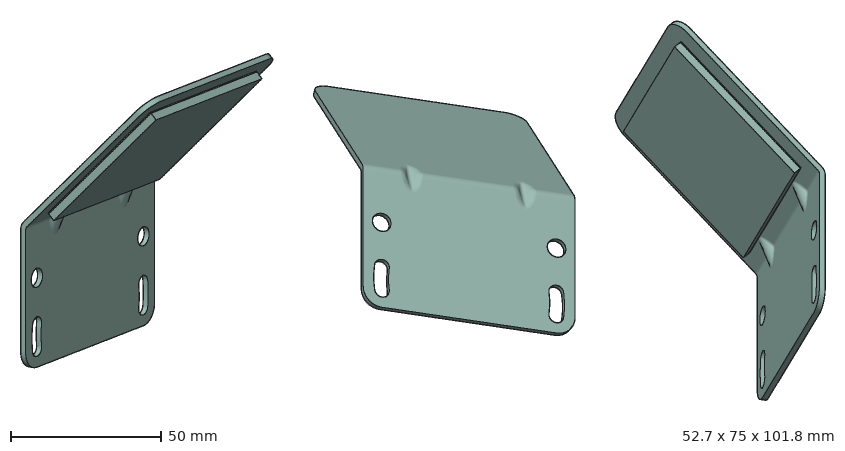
import cadquery as cq
import math

width = 75.0
overall_x = 52.7
overall_z = 101.8
sheet = 2.0
bend_angle = 45.0
bend_inner = 2.0
bend_outer = bend_inner + sheet
corner_radius = 6.6

hole_diameter = 6.5
hole_offset = 30.9
hole_z = 30.9
slot_z = 10.6
slot_width = 5.2
slot_height = 13.6
slot_arc_radius = 31.1

dimple_offset = 20.0
dimple_depth = 2.5
groove_radius = 1.5
groove_blend = 3.1
bump_radius = groove_radius + sheet
bump_blend = groove_blend - sheet
dimple_reach = 10.2

margin = 6.7
plate_length = 58.7
plate_thickness = 2.8
layer_thickness = 0.4

sin_bend = math.sin(math.radians(bend_angle))
cos_bend = math.cos(math.radians(bend_angle))
tip_x = overall_x - sheet * cos_bend
sharp_z = overall_z - tip_x * cos_bend / sin_bend
bend_z = sharp_z - bend_outer * math.tan(math.radians(bend_angle / 2))
cutter_length = 25.4

leg_plane = cq.Plane(
    origin=(overall_x, 0, overall_z - sheet * sin_bend),
    xDir=(-sin_bend, 0, -cos_bend),
    normal=(cos_bend, 0, -sin_bend),
)


def arc_point(radius, degrees):
    """Point at an angle around the bend axis, measured from the vertical leg."""
    angle = math.radians(degrees)
    return (bend_outer - radius * math.cos(angle), bend_z + radius * math.sin(angle))


def make_blank():
    """Bent sheet with rounded free corners."""
    blank = (
        cq.Workplane("XZ")
        .moveTo(0, 0)
        .lineTo(0, bend_z)
        .threePointArc(arc_point(bend_outer, bend_angle / 2), arc_point(bend_outer, bend_angle))
        .lineTo(tip_x, overall_z)
        .lineTo(overall_x, overall_z - sheet * sin_bend)
        .lineTo(*arc_point(bend_inner, bend_angle))
        .threePointArc(arc_point(bend_inner, bend_angle / 2), arc_point(bend_inner, 0))
        .lineTo(sheet, 0)
        .close()
        .extrude(width / 2, both=True)
    )
    leg_direction = cq.Vector(cos_bend, 0, -sin_bend)
    end_corners = blank.edges(cq.selectors.ParallelDirSelector(leg_direction)).edges(">Z").vals()
    lower_corners = blank.edges("|X").edges("<Z").vals()
    return blank.newObject(end_corners + lower_corners).fillet(corner_radius)


def dimple_plane(y):
    """Plane across a dimple: local X inward along the bisector, normal along the groove."""
    half = math.radians(bend_angle / 2)
    return cq.Plane(
        origin=(0, y, sharp_z),
        xDir=(math.cos(half), 0, -math.sin(half)),
        normal=(math.sin(half), 0, math.cos(half)),
    )


def edges_near(body, y):
    """Edges that lie entirely in the space around one dimple."""
    near = (-dimple_reach, y - dimple_reach, sharp_z - dimple_reach)
    far = (dimple_reach, y + dimple_reach, sharp_z + dimple_reach)
    return body.edges(cq.selectors.BoxSelector(near, far, boundingbox=True)).vals()


def make_bump(y):
    """Round bar along the groove, kept only below the middle of the sheet's thickness."""
    bar = (
        cq.Workplane(dimple_plane(y))
        .center(dimple_depth - groove_radius, 0)
        .circle(bump_radius)
        .extrude(cutter_length, both=True)
    )
    middle = sheet / 2
    shift = middle / cos_bend - middle
    inner_side = (
        cq.Workplane("XZ", origin=(0, y, 0))
        .moveTo(middle, hole_z)
        .lineTo(middle, sharp_z - shift)
        .lineTo(overall_x, overall_x + sharp_z - middle - shift)
        .lineTo(overall_x, hole_z)
        .close()
        .extrude(dimple_reach, both=True)
    )
    return bar.intersect(inner_side)


def make_groove(y):
    """Round-bottomed slot along the groove, open to the outside of the bend."""
    section = cq.Workplane(dimple_plane(y)).center(dimple_depth - groove_radius, 0)
    floor = section.circle(groove_radius).extrude(cutter_length, both=True)
    opening = section.center(-dimple_reach / 2, 0).rect(dimple_reach, 2 * groove_radius)
    return floor.union(opening.extrude(cutter_length, both=True))


def on_outer_skin(point):
    """Whether a point lies on the outer surface of a leg or of the bend between them."""
    tolerance = 0.001
    from_axis_x = bend_outer - point.x
    from_axis_z = point.z - bend_z
    off_slope = from_axis_x * cos_bend + from_axis_z * sin_bend
    if from_axis_z <= 0:
        distance = from_axis_x
    elif from_axis_z * cos_bend >= from_axis_x * sin_bend:
        distance = off_slope
    else:
        distance = math.hypot(from_axis_x, from_axis_z)
    return abs(distance - bend_outer) < tolerance


def press_dimple(body, y):
    """Press one dimple: a blended bump inside and a matching groove outside."""
    body = body.union(make_bump(y))
    body = body.newObject(edges_near(body, y)).fillet(bump_blend)
    body = body.cut(make_groove(y))
    rim = [edge for edge in edges_near(body, y) if on_outer_skin(edge.positionAt(0.5))]
    return body.newObject(rim).fillet(groove_blend)


def make_slot(side):
    """Curved slot cutter whose centreline bows toward the side edge."""
    end_radius = slot_width / 2
    half_angle = math.asin((slot_height / 2 - end_radius) / slot_arc_radius)

    def at(radius, angle):
        return (side * radius * math.cos(angle), slot_z + radius * math.sin(angle))

    outer = slot_arc_radius + end_radius
    inner = slot_arc_radius - end_radius
    end_turn = end_radius / slot_arc_radius
    return (
        cq.Workplane("YZ")
        .moveTo(*at(outer, -half_angle))
        .threePointArc(at(outer, 0), at(outer, half_angle))
        .threePointArc(at(slot_arc_radius, half_angle + end_turn), at(inner, half_angle))
        .threePointArc(at(inner, 0), at(inner, -half_angle))
        .threePointArc(at(slot_arc_radius, -half_angle - end_turn), at(outer, -half_angle))
        .close()
        .extrude(sheet)
    )


def make_bracket():
    """Bent sheet with two dimples, two round holes and two curved slots."""
    bracket = make_blank()
    for side in (-1, 1):
        bracket = press_dimple(bracket, side * dimple_offset)
        hole = (
            cq.Workplane("YZ")
            .center(side * hole_offset, hole_z)
            .circle(hole_diameter / 2)
            .extrude(sheet)
        )
        bracket = bracket.cut(hole).cut(make_slot(side))
    return bracket


def make_panel(height, thickness):
    """Rectangular panel parallel to the upper leg, lifted off its inner face by a height."""
    return (
        cq.Workplane(leg_plane)
        .workplane(offset=height)
        .center(margin + plate_length / 2, 0)
        .rect(plate_length, width - 2 * margin)
        .extrude(thickness)
    )


bracket = make_bracket()
joining_layer = make_panel(0, layer_thickness)
backing_plate = make_panel(layer_thickness, plate_thickness)

result = cq.Compound.makeCompound([
    *bracket.solids().vals(),
    joining_layer.val(),
    backing_plate.val(),
])